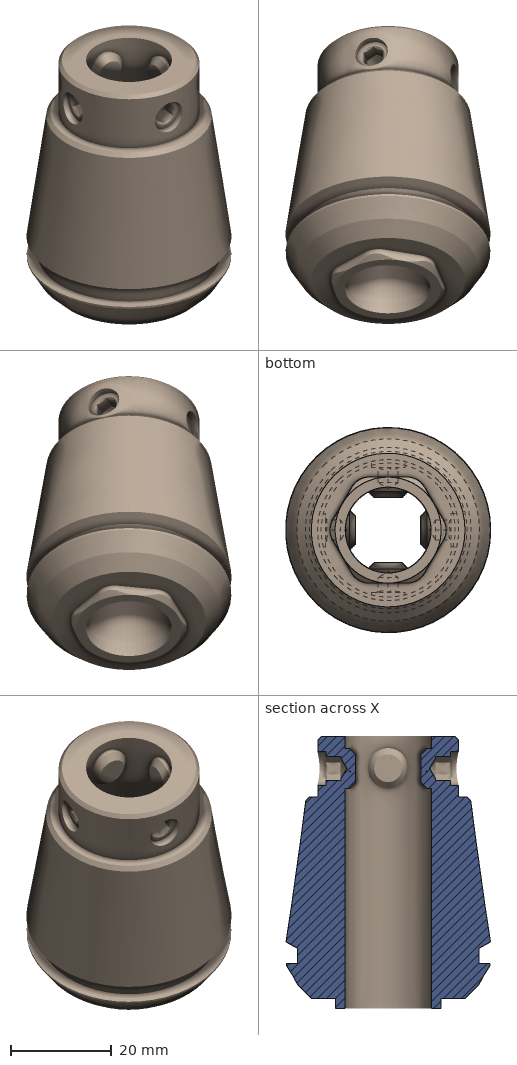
import cadquery as cq
import math

height = 54.0
bore_diameter = 17.0
outer_radius = 40.65 / 2

flats_to_corners = 2 / math.sqrt(3)

hex_flats = 21.0
hex_corner_radius = 4.0
hex_height = 2.0

flange_foot_radius = 15.25
flange_knee_radius = 18.0
flange_knee_z = hex_height + flange_knee_radius - flange_foot_radius
flange_rim_radius = 40.55 / 2
flange_rim_z = 8.65
flange_top_z = 9.05

groove_radius = 36.2 / 2
groove_top_z = 12.0

taper_bottom_z = 13.25
taper_top_radius = 16.4
shoulder_z = 42.0
shoulder_chamfer = 0.8

collar_radius = 27.95 / 2
collar_chamfer = 0.7

screw_count = 4
screw_z = 47.65
screw_hole_diameter = 6.65
screw_diameter = 8.0
screw_point_diameter = 5.5
screw_tip_radius = 6.4
screw_length = 6.0
screw_head_radius = screw_tip_radius + screw_length
point_chamfer = (screw_diameter - screw_point_diameter) / 2

socket_flats = 4.0
socket_depth = 3.0
socket_mouth_diameter = 4.75
socket_corner_diameter = socket_flats * flats_to_corners
drill_point_half_angle = 60.0


def revolve_profile(points):
    """Solid of revolution about Z from (radius, z) points."""
    return cq.Workplane("XZ").polyline(points).close().revolve(360, (0, 0, 0), (0, 1, 0))


def make_body():
    return revolve_profile([
        (0, hex_height),
        (flange_foot_radius, hex_height),
        (flange_knee_radius, flange_knee_z),
        (flange_rim_radius, flange_rim_z),
        (flange_rim_radius, flange_top_z),
        (groove_radius, flange_top_z),
        (groove_radius, groove_top_z),
        (outer_radius, taper_bottom_z),
        (taper_top_radius, shoulder_z - shoulder_chamfer),
        (taper_top_radius - shoulder_chamfer, shoulder_z),
        (collar_radius, shoulder_z),
        (collar_radius, height - collar_chamfer),
        (collar_radius - collar_chamfer, height),
        (0, height),
    ])


def make_hex_end():
    """Hexagon with rounded corners and flats facing +-Y, turned to a 45 degree cone at its end face."""
    hexagon = (
        cq.Workplane("XY")
        .polygon(6, hex_flats * flats_to_corners)
        .extrude(hex_height)
        .edges("|Z")
        .fillet(hex_corner_radius)
    )
    end_radius = hex_flats / 2
    cone = revolve_profile([
        (0, 0),
        (end_radius, 0),
        (end_radius + hex_height, hex_height),
        (0, hex_height),
    ])
    return hexagon.intersect(cone)


def place_radially(shape, index):
    """Turn a shape built along +Z so that it points outward at the screw height."""
    angle = index * 360.0 / screw_count
    return (
        shape.rotate((0, 0, 0), (0, 1, 0), 90)
        .translate((0, 0, screw_z))
        .rotate((0, 0, 0), (0, 0, 1), angle)
    )


def make_screw():
    """Set screw along +Z, chamfered point toward the axis; its outer end is buried in the collar wall."""
    return (
        cq.Workplane("XY", origin=(0, 0, screw_tip_radius))
        .circle(screw_diameter / 2)
        .extrude(screw_length)
        .faces("<Z")
        .chamfer(point_chamfer)
    )


def make_screw_opening():
    """Hole above the screw head plus the screw's hexagon socket with its conical mouth and floor."""
    hole = (
        cq.Workplane("XY", origin=(0, 0, screw_head_radius))
        .circle(screw_hole_diameter / 2)
        .extrude(collar_radius)
    )
    socket_floor = screw_head_radius - socket_depth
    hexagon = (
        cq.Workplane("XY", origin=(0, 0, socket_floor))
        .polygon(6, socket_corner_diameter)
        .extrude(socket_depth)
    )
    mouth_radius = socket_mouth_diameter / 2
    mouth = revolve_profile([
        (0, screw_head_radius - mouth_radius),
        (mouth_radius, screw_head_radius),
        (0, screw_head_radius),
    ])
    floor_radius = socket_flats / 2
    floor_depth = floor_radius / math.tan(math.radians(drill_point_half_angle))
    floor_cone = revolve_profile([
        (0, socket_floor - floor_depth),
        (floor_radius, socket_floor),
        (0, socket_floor),
    ])
    return hole.union(hexagon).union(mouth).union(floor_cone)


result = make_body().union(make_hex_end())
result = result.cut(cq.Workplane("XY").circle(bore_diameter / 2).extrude(height))

for index in range(screw_count):
    result = result.union(place_radially(make_screw(), index))
    result = result.cut(place_radially(make_screw_opening(), index))